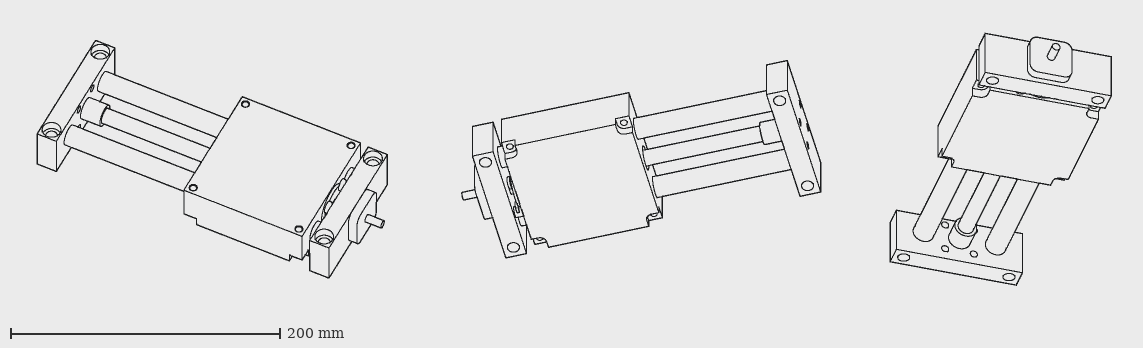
import cadquery as cq

total_length = 262.0
width = 98.0
total_height = 38.0

plate_thickness = 16.0
plate_height = 36.7
right_plate_x = 225.8
mount_hole_spacing = 81.7
mount_hole_diameter = 9.0
mount_bore_diameter = 14.0
mount_bore_depth = 7.3
face_hole_spacing = 22.3
face_hole_diameter = 5.5
inner_hole_spacing = 41.1
inner_hole_z = 33.0
inner_hole_diameter = 5.2
inner_hole_depth = 7.9

axis_z = 20.2
rod_diameter = 16.0
rod_spacing = 56.0
spindle_diameter = 12.0
collar_diameter = 17.0
collar_length = 16.0
bearing_size = 32.5
bearing_thickness = 7.0
bearing_corner_radius = 6.3
shaft_diameter = 6.0

carriage_x = 121.5
carriage_length = 98.0
carriage_height = 36.0
spindle_bore_diameter = 18.0
corner_hole_inset = 5.2
corner_hole_diameter = 5.0
corner_hole_mouth_diameter = 6.0
corner_chamfer_angle = 90
notch_size = 10.5
notch_height = 7.0
notch_radius = 5.0

flange_diameter = 32.8
flange_thickness = 2.4
screw_spacing = 23.5
screw_head_diameter = 9.5
screw_head_height = 2.0
screw_head_rounding = 1.0
stop_pin_diameter = 8.5
stop_pin_y = -15.2
stop_pin_z = axis_z - 12.3

carriage_end_x = carriage_x + carriage_length
carriage_z = total_height - carriage_height
right_plate_end_x = right_plate_x + plate_thickness
bearing_end_x = right_plate_end_x + bearing_thickness
rod_ys = (-rod_spacing / 2, rod_spacing / 2)


def x_cylinder(diameter, start_x, end_x, y=0.0, z=axis_z):
    """Cylinder parallel to X between two X positions."""
    plane = cq.Workplane("YZ", origin=(start_x, y, z))
    return plane.circle(diameter / 2).extrude(end_x - start_x)


def make_end_plate(start_x):
    """Upright plate with a counterbored mounting hole near each end."""
    plate = cq.Workplane("XY").box(plate_thickness, width, plate_height, centered=(False, True, False))
    plate = (
        plate.faces(">Z")
        .workplane(origin=(plate_thickness / 2, 0, 0))
        .rarray(2.5, mount_hole_spacing, 1, 2)
        .cboreHole(mount_hole_diameter, mount_bore_diameter, mount_bore_depth)
    )
    return plate.translate((start_x, 0, 0))


def make_bearing():
    """Square bearing cover with rounded corners on the outside of the right plate."""
    cover = cq.Workplane("YZ", origin=(right_plate_end_x, 0, axis_z))
    cover = cover.rect(bearing_size, bearing_size).extrude(bearing_thickness)
    return cover.edges("|X").fillet(bearing_corner_radius)


def make_frame():
    """Two end plates joined by the guide rods and the spindle."""
    left_plate = make_end_plate(0)
    face_holes = (
        cq.Workplane("YZ", origin=(0, 0, axis_z))
        .rarray(face_hole_spacing, face_hole_spacing, 2, 2)
        .circle(face_hole_diameter / 2)
        .extrude(plate_thickness)
    )
    frame = left_plate.cut(face_holes)
    for y in rod_ys:
        frame = frame.union(x_cylinder(rod_diameter, plate_thickness, right_plate_x, y))
    frame = frame.union(x_cylinder(collar_diameter, plate_thickness, plate_thickness + collar_length))
    frame = frame.union(x_cylinder(spindle_diameter, plate_thickness, right_plate_x))
    frame = frame.union(make_end_plate(right_plate_x))
    for y in (-inner_hole_spacing / 2, inner_hole_spacing / 2):
        hole_end_x = right_plate_x + inner_hole_depth
        frame = frame.cut(x_cylinder(inner_hole_diameter, right_plate_x, hole_end_x, y, inner_hole_z))
    frame = frame.union(make_bearing())
    return frame.union(x_cylinder(shaft_diameter, bearing_end_x, total_length))


def make_corner_notch(x_side, y_side):
    """Pocket cutter for one bottom corner, rounded at its inner corner."""
    notch = cq.Workplane("XY").box(2 * notch_size, 2 * notch_size, notch_height, centered=(True, True, False))
    notch = notch.edges("|Z").fillet(notch_radius)
    corner_x = carriage_x + (carriage_length if x_side > 0 else 0)
    return notch.translate((corner_x, y_side * width / 2, carriage_z))


def make_nut_flange():
    """Round nut flange with four domed screw heads on the right face of the carriage."""
    flange_end_x = carriage_end_x + flange_thickness
    flange = x_cylinder(flange_diameter, carriage_end_x, flange_end_x)
    heads = (
        cq.Workplane("YZ", origin=(flange_end_x, 0, axis_z))
        .rarray(screw_spacing, screw_spacing, 2, 2)
        .circle(screw_head_diameter / 2)
        .extrude(screw_head_height)
        .faces(">X")
        .edges()
        .fillet(screw_head_rounding)
    )
    return flange.union(heads)


def make_carriage():
    """Block that slides on the rods, with the spindle nut and stop pin."""
    block = cq.Workplane("XY", origin=(carriage_x, 0, carriage_z)).box(
        carriage_length, width, carriage_height, centered=(False, True, False)
    )
    hole_pitch_x = carriage_length - 2 * corner_hole_inset
    hole_pitch_y = width - 2 * corner_hole_inset
    block = (
        block.faces(">Z")
        .workplane(origin=(carriage_x + carriage_length / 2, 0, 0))
        .rarray(hole_pitch_x, hole_pitch_y, 2, 2)
        .cskHole(corner_hole_diameter, corner_hole_mouth_diameter, corner_chamfer_angle)
    )
    for x_side in (-1, 1):
        for y_side in (-1, 1):
            block = block.cut(make_corner_notch(x_side, y_side))
    carriage = block.union(make_nut_flange())
    carriage = carriage.union(
        x_cylinder(stop_pin_diameter, carriage_end_x, right_plate_x, stop_pin_y, stop_pin_z)
    )
    for y in rod_ys:
        carriage = carriage.cut(x_cylinder(rod_diameter, carriage_x, right_plate_x, y))
    carriage = carriage.cut(x_cylinder(spindle_bore_diameter, carriage_x, carriage_end_x))
    return carriage.cut(x_cylinder(spindle_diameter, carriage_x, right_plate_x))


frame = make_frame()
carriage = make_carriage()
result = cq.Compound.makeCompound([frame.solids().val(), carriage.solids().val()])